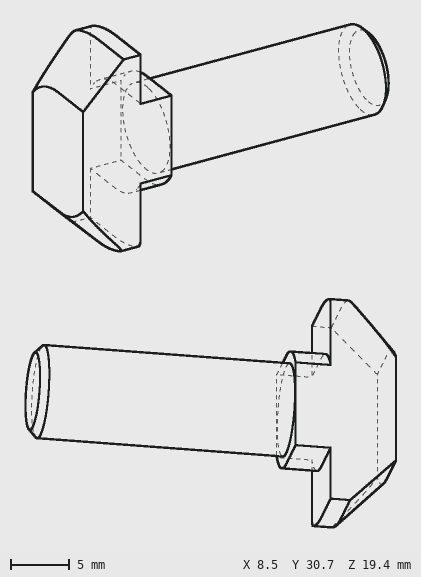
import cadquery as cq

total_length = 30.7
width = 8.5
head_height = 19.4
head_thickness = 5.68
head_bevel = 4.0
corner_radius = 1.0
neck_height = 10.0
neck_length = 3.05
shaft_diameter = 7.98
shaft_chamfer = 0.68

half_width = width / 2
head_radius = head_height / 2
neck_radius = neck_height / 2
neck_end = head_thickness + neck_length
quadrant_size = max(total_length, head_height)


def upper_profile():
    """Beveled head and neck between the bolt axis and the top, in the YZ plane."""
    points = [
        (0, 0),
        (0, head_radius - head_bevel),
        (head_bevel, head_radius),
        (head_thickness, head_radius),
        (head_thickness, neck_radius),
        (neck_end, neck_radius),
        (neck_end, 0),
    ]
    return cq.Workplane("YZ").polyline(points).close()


def square_quadrant():
    """Straight-sided quarter at +X, +Z."""
    return upper_profile().extrude(half_width)


def round_quadrant():
    """Quarter at -X, +Z, turned about the bolt axis so that the head can rotate in its slot."""
    turned = upper_profile().revolve(360, (0, 0), (1, 0))
    quadrant = cq.Workplane("XY").box(
        half_width, quadrant_size, quadrant_size, centered=(False, True, False)
    ).translate((-half_width, 0, 0))
    quarter = turned.intersect(quadrant)
    return quarter.faces("<X").edges("|Y").edges(">Z").fillet(corner_radius)


upper_half = square_quadrant().union(round_quadrant())
lower_half = upper_half.rotate((0, 0, 0), (0, 1, 0), 180)
head = upper_half.union(lower_half)

shaft = (
    cq.Workplane("XZ", origin=(0, neck_end, 0))
    .circle(shaft_diameter / 2)
    .extrude(neck_end - total_length)
    .faces(">Y")
    .chamfer(shaft_chamfer)
)

result = head.union(shaft)